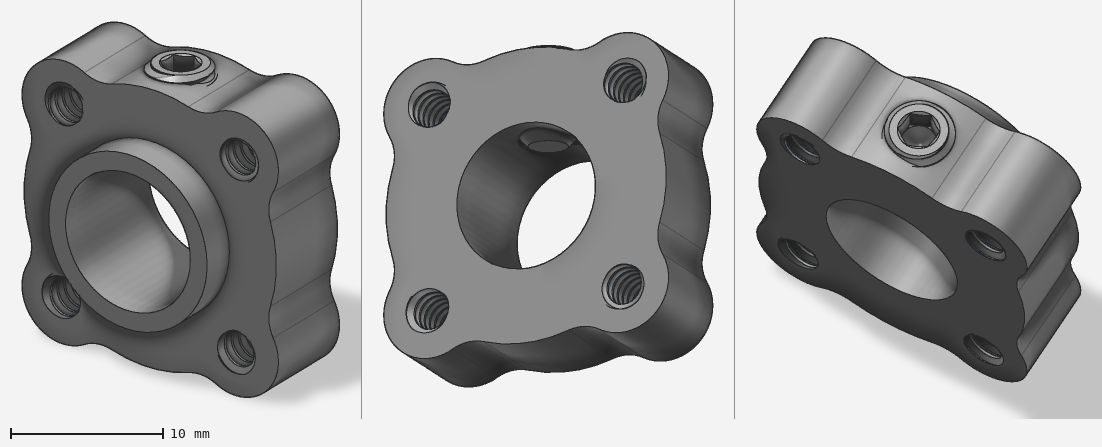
import cadquery as cq
import math

flange_thickness = 6.99
lobe_spacing = 13.84
lobe_center = lobe_spacing / 2
overall_width = 20.574
lobe_radius = (overall_width - lobe_spacing) / 2
side_arc_radius = 10.12
blend_radius = 2.83

boss_diameter = 12.7
boss_length = 2.54
bore_diameter = 10.0

thread_pitch = 25.4 / 32
sharp_height = thread_pitch * math.sqrt(3) / 2
thread_depth = 5 / 8 * sharp_height
crest_width = thread_pitch / 8
root_width = thread_pitch * 3 / 4
thread_margin_turns = 2
root_overlap = 0.05
tapped_major_diameter = 3.505
tapped_phase = 270

screw_major_diameter = 4.826
screw_length = 6.35
screw_top = 10.685
screw_bottom = screw_top - screw_length
screw_y = flange_thickness / 2
screw_top_chamfer_width = 0.46
screw_top_chamfer_height = 0.36
screw_tip_chamfer = 1.08
envelope_clearance = 0.1
screw_thread_turns = 12
screw_crest_drop = 0.57
socket_across_flats = 2.38
socket_corner_diameter = socket_across_flats / math.cos(math.pi / 6)
socket_depth = 1.55
socket_angle = 25
socket_drill_angle = 118
socket_mouth_diameter = 2.8
socket_mouth_angle = 120


def threaded_rod(major_diameter, turns):
    """Right-hand threaded rod on the Z axis, its crest starting on the +X side at z = 0."""
    minor_radius = major_diameter / 2 - thread_depth
    length = turns * thread_pitch
    helix = cq.Wire.makeHelix(thread_pitch, length, minor_radius)
    flank_slope = (root_width - crest_width) / 2 / thread_depth
    base_half = root_width / 2 + root_overlap * flank_slope
    crest_half = crest_width / 2
    ridge = (
        cq.Workplane("XZ")
        .moveTo(minor_radius - root_overlap, -base_half)
        .lineTo(minor_radius + thread_depth, -crest_half)
        .lineTo(minor_radius + thread_depth, crest_half)
        .lineTo(minor_radius - root_overlap, base_half)
        .close()
        .sweep(cq.Workplane(helix), isFrenet=True)
    )
    core = cq.Workplane("XY").circle(minor_radius).extrude(length)
    return core.union(ridge)


def from_center(center, toward, distance):
    """Point at the given distance from center, on the line to another point."""
    angle = math.atan2(toward[1] - center[1], toward[0] - center[0])
    return (center[0] + distance * math.cos(angle), center[1] + distance * math.sin(angle))


def turned(point, quarter):
    """Point turned by quarter turns about the bore axis."""
    x, z = point
    for _ in range(quarter):
        x, z = -z, x
    return (x, z)


def flange_outline():
    """Side arc, blend, corner lobe and blend, repeated for each quarter turn."""
    lobe = (lobe_center, lobe_center)
    to_bore = side_arc_radius + blend_radius
    to_lobe = lobe_radius + blend_radius
    lobe_distance = math.hypot(*lobe)
    cosine = (to_bore**2 + lobe_distance**2 - to_lobe**2) / (2 * to_bore * lobe_distance)
    blend_angle = math.pi / 4 - math.acos(cosine)
    blend = (to_bore * math.cos(blend_angle), to_bore * math.sin(blend_angle))

    arc_end = from_center((0, 0), blend, side_arc_radius)
    arc_start = (arc_end[0], -arc_end[1])
    lobe_start = from_center(lobe, blend, lobe_radius)
    chord_middle = ((arc_end[0] + lobe_start[0]) / 2, (arc_end[1] + lobe_start[1]) / 2)
    blend_middle = from_center(blend, chord_middle, blend_radius)
    lobe_middle = from_center((0, 0), lobe, lobe_distance + lobe_radius)
    lobe_end = (lobe_start[1], lobe_start[0])
    next_blend_middle = (blend_middle[1], blend_middle[0])
    next_arc_start = (arc_end[1], arc_end[0])

    outline = cq.Workplane("XZ").moveTo(*arc_start)
    for quarter in range(4):
        arcs = [
            ((side_arc_radius, 0), arc_end),
            (blend_middle, lobe_start),
            (lobe_middle, lobe_end),
            (next_blend_middle, next_arc_start),
        ]
        for middle, end in arcs:
            outline = outline.threePointArc(turned(middle, quarter), turned(end, quarter))
    return outline.close()


def screw_thread():
    """Threaded rod on the screw axis, long enough to pass through the bore wall."""
    turns = screw_thread_turns
    start = screw_top - screw_crest_drop - thread_pitch / 2 - (turns - thread_margin_turns) * thread_pitch
    return threaded_rod(screw_major_diameter, turns).translate((0, screw_y, start))


def make_hub():
    flange = flange_outline().extrude(-flange_thickness)
    boss = cq.Workplane("XZ").circle(boss_diameter / 2).extrude(boss_length)
    bore = (
        cq.Workplane("XZ", origin=(0, flange_thickness, 0))
        .circle(bore_diameter / 2)
        .extrude(flange_thickness + boss_length)
    )
    hub = flange.union(boss)

    turns = math.ceil(flange_thickness / thread_pitch) + 2 * thread_margin_turns
    tap = (
        threaded_rod(tapped_major_diameter, turns)
        .rotate((0, 0, 0), (0, 0, 1), tapped_phase)
        .rotate((0, 0, 0), (1, 0, 0), -90)
        .translate((-lobe_center, -thread_margin_turns * thread_pitch, lobe_center))
    )
    for quarter in range(4):
        hub = hub.cut(tap.rotate((0, 0, 0), (0, 1, 0), 90 * quarter))

    return hub.cut(screw_thread()).cut(bore)


def downward_cone(radius, included_angle, base_z):
    """Cone on the Z axis with its base at base_z and its tip below."""
    height = radius / math.tan(math.radians(included_angle / 2))
    base = cq.Vector(0, 0, base_z)
    return cq.Workplane(cq.Solid.makeCone(radius, 0, height, pnt=base, dir=cq.Vector(0, 0, -1)))


def make_socket():
    """Hex socket with a conical lead-in at its mouth and a drill point at its end."""
    hexagon = (
        cq.Workplane("XY")
        .polygon(6, socket_corner_diameter)
        .extrude(-socket_depth)
        .rotate((0, 0, 0), (0, 0, 1), socket_angle)
    )
    mouth = downward_cone(socket_mouth_diameter / 2, socket_mouth_angle, 0)
    drill_point = downward_cone(socket_across_flats / 2, socket_drill_angle, -socket_depth)
    return hexagon.union(mouth).union(drill_point).translate((0, screw_y, screw_top))


def make_set_screw():
    radius = screw_major_diameter / 2
    side = radius + envelope_clearance
    top_slope = screw_top_chamfer_height / screw_top_chamfer_width
    tip_shoulder = screw_bottom + screw_tip_chamfer + envelope_clearance
    top_shoulder = screw_top - screw_top_chamfer_height - envelope_clearance * top_slope
    envelope = (
        cq.Workplane("XZ")
        .moveTo(0, screw_bottom)
        .lineTo(radius - screw_tip_chamfer, screw_bottom)
        .lineTo(side, tip_shoulder)
        .lineTo(side, top_shoulder)
        .lineTo(radius - screw_top_chamfer_width, screw_top)
        .lineTo(0, screw_top)
        .close()
        .revolve(360, (0, 0, 0), (0, 1, 0))
        .translate((0, screw_y, 0))
    )
    return screw_thread().intersect(envelope).cut(make_socket())


hub = make_hub()
set_screw = make_set_screw()
result = cq.Compound.makeCompound([hub.solids().val(), set_screw.solids().val()])